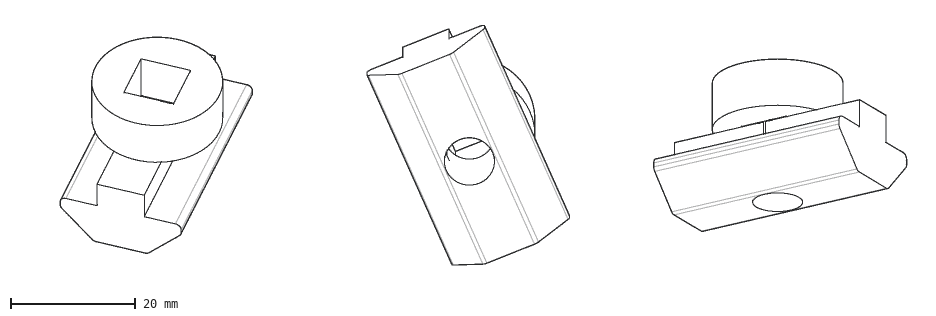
import cadquery as cq
import math

length = 35.0
total_height = 20.5
disk_diameter = 21.0
disk_height = 7.98
disk_offset_y = 0.5
square_side = 8.4
bore_diameter = 8.0
slit_width = 0.35

stem_width = math.sqrt(bore_diameter**2 - slit_width**2)
flange_width = 20.5
flange_height = 7.88
flange_bottom_width = 9.1
flange_side_height = 2.05
edge_radius = 0.98

bar_height = total_height - disk_height


def flange():
    """Wedge-bottomed flange with rounded long edges, resting on Z = 0."""
    half_top = flange_width / 2
    half_bottom = flange_bottom_width / 2
    shoulder = flange_height - flange_side_height
    return (
        cq.Workplane("XZ")
        .polyline([
            (-half_bottom, 0),
            (half_bottom, 0),
            (half_top, shoulder),
            (half_top, flange_height),
            (-half_top, flange_height),
            (-half_top, shoulder),
        ])
        .close()
        .extrude(length / 2, both=True)
        .edges("|Y")
        .fillet(edge_radius)
    )


def stem():
    """Narrow web joining the flange to the disk."""
    return (
        cq.Workplane("XY")
        .box(stem_width, length, bar_height - flange_height, centered=(True, True, False))
        .translate((0, 0, flange_height))
    )


def disk():
    """Round head on top of the stem, with a square socket through it."""
    return (
        cq.Workplane("XY", origin=(0, disk_offset_y, bar_height))
        .circle(disk_diameter / 2)
        .rect(square_side, square_side)
        .extrude(disk_height)
    )


bore = (
    cq.Workplane("XY", origin=(0, disk_offset_y, 0))
    .circle(bore_diameter / 2)
    .extrude(bar_height)
)

result = flange().union(stem()).cut(bore).union(disk())